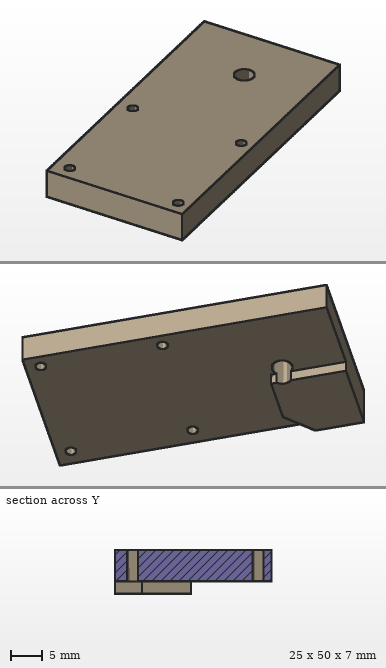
import cadquery as cq

plate_width = 25.0
plate_length = 50.0
plate_thickness = 5.0

small_hole_diameter = 1.7
small_hole_spacing = 20.0
small_hole_first_x = 2.8
small_hole_first_y = 2.5

large_hole_diameter = 3.3
large_hole_x = 13.3
large_hole_y = 39.8

pad_height = 2.0
pad_width = 12.15
pad_length = 12.3
pad_corner_cut = 4.3


def make_plate():
    """Rectangular plate with its front left bottom corner at the origin."""
    return cq.Workplane("XY").box(plate_width, plate_length, plate_thickness, centered=False)


def make_pad():
    """Corner pad hanging below the plate."""
    pad_front = plate_length - pad_length
    outline = [
        (0, plate_length),
        (0, pad_front + pad_corner_cut),
        (pad_corner_cut, pad_front),
        (pad_width, pad_front),
        (pad_width, plate_length),
    ]
    return cq.Workplane("XY").polyline(outline).close().extrude(-pad_height)


def make_holes(points, diameter):
    """Vertical cylinders reaching through the plate and the pad."""
    return (
        cq.Workplane("XY", origin=(0, 0, -pad_height))
        .pushPoints(points)
        .circle(diameter / 2)
        .extrude(pad_height + plate_thickness)
    )


small_hole_points = [
    (small_hole_first_x + column * small_hole_spacing, small_hole_first_y + row * small_hole_spacing)
    for column in range(2)
    for row in range(2)
]

result = (
    make_plate()
    .union(make_pad())
    .cut(make_holes(small_hole_points, small_hole_diameter))
    .cut(make_holes([(large_hole_x, large_hole_y)], large_hole_diameter))
)